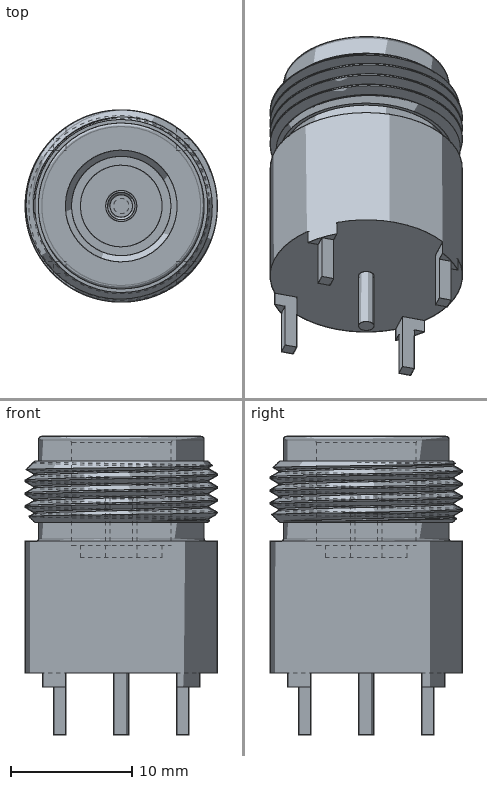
import cadquery as cq
import math

FOOT_HEIGHT = 1.14
TAIL_LENGTH = 3.94
BODY_TOP = 12.04
THREAD_BOTTOM = 13.58
THREAD_TOP = 18.66
NOSE_TOP = 20.70

BODY_RADIUS = 7.94
NOSE_RADIUS = 6.85
NOSE_EDGE_FILLET = 0.29
NECK_FILLET = 0.18

THREAD_PITCH = 25.4 / 24
THREAD_FLAT = THREAD_PITCH / 8
THREAD_HALF_ANGLE = math.radians(30)
THREAD_END_CHAMFER = 0.80
CREST_HEIGHT_AT_X = 14.36

BORE_RADIUS = 4.10
BORE_CHAMFER = 0.51
BORE_DEPTH = 9.0
BORE_FLOOR = NOSE_TOP - BORE_DEPTH
INSULATOR_RADIUS = 3.37
INSULATOR_RECESS = 1.0

CONTACT_RADIUS = 1.285
CONTACT_TIP_DEPTH = 5.0
SOCKET_RADIUS = 0.93
SOCKET_CHAMFER = 0.20
SOCKET_DEPTH = 4.0
CONTACT_TAIL_RADIUS = 0.635

LEG_OFFSET = 5.08
LEG_SIZE = 1.02


def cylinder(radius, bottom, top):
    return cq.Workplane("XY").workplane(offset=bottom).circle(radius).extrude(top - bottom)


def make_shell():
    """Drum, filleted neck and rounded nose, revolved as one outline."""
    return (
        cq.Workplane("XZ")
        .moveTo(0, FOOT_HEIGHT)
        .lineTo(BODY_RADIUS, FOOT_HEIGHT)
        .lineTo(BODY_RADIUS, BODY_TOP)
        .lineTo(NOSE_RADIUS + NECK_FILLET, BODY_TOP)
        .radiusArc((NOSE_RADIUS, BODY_TOP + NECK_FILLET), NECK_FILLET)
        .lineTo(NOSE_RADIUS, NOSE_TOP - NOSE_EDGE_FILLET)
        .radiusArc((NOSE_RADIUS - NOSE_EDGE_FILLET, NOSE_TOP), -NOSE_EDGE_FILLET)
        .lineTo(0, NOSE_TOP)
        .close()
        .revolve(360, (0, 0), (0, 1))
    )


def helical_bar(corners, pitch, turns, start_height):
    """Sweep a closed (radius, height) section up a right-hand helix, as ruled walls between rails."""
    rails = []
    for radius, height in corners:
        helix = cq.Wire.makeHelix(pitch, turns * pitch, radius)
        helix = helix.translate(cq.Vector(0, 0, start_height + height))
        rails.append(helix.Edges()[0])
    next_rails = rails[1:] + rails[:1]
    faces = [cq.Face.makeRuledSurface(rail, other) for rail, other in zip(rails, next_rails)]
    for end_point in (cq.Edge.startPoint, cq.Edge.endPoint):
        outline = cq.Wire.makePolygon([end_point(rail) for rail in rails], close=True)
        faces.append(cq.Face.makeFromWires(outline))
    return cq.Workplane(cq.Solid.makeSolid(cq.Shell.makeShell(faces)))


def make_thread_envelope():
    """Collar whose 45-degree end cones run on past the crests to trim the thread ends."""
    cone_rise = THREAD_END_CHAMFER + 0.5
    end_radius = BODY_RADIUS - THREAD_END_CHAMFER
    outer_radius = end_radius + cone_rise
    return (
        cq.Workplane("XZ")
        .moveTo(0, THREAD_BOTTOM)
        .lineTo(end_radius, THREAD_BOTTOM)
        .lineTo(outer_radius, THREAD_BOTTOM + cone_rise)
        .lineTo(outer_radius, THREAD_TOP - cone_rise)
        .lineTo(end_radius, THREAD_TOP)
        .lineTo(0, THREAD_TOP)
        .close()
        .revolve(360, (0, 0), (0, 1))
    )


def make_thread():
    """Helical ridge on a root cylinder, trimmed to the chamfered collar."""
    crest_half = THREAD_FLAT / 2
    root_half = (THREAD_PITCH - THREAD_FLAT) / 2
    depth = (root_half - crest_half) / math.tan(THREAD_HALF_ANGLE)
    root_radius = BODY_RADIUS - depth
    buried_radius = root_radius - 0.1
    section = [
        (buried_radius, -root_half),
        (root_radius, -root_half),
        (BODY_RADIUS, -crest_half),
        (BODY_RADIUS, crest_half),
        (root_radius, root_half),
        (buried_radius, root_half),
    ]

    start_height = CREST_HEIGHT_AT_X - 2 * THREAD_PITCH
    turns = math.ceil((THREAD_TOP - start_height) / THREAD_PITCH) + 1
    ridge = helical_bar(section, THREAD_PITCH, turns, start_height)
    end_height = start_height + turns * THREAD_PITCH
    core = cylinder(root_radius, start_height - THREAD_PITCH, end_height + THREAD_PITCH)
    return core.union(ridge).intersect(make_thread_envelope())


def make_bore():
    """Bore with a chamfered mouth and a smaller insulator recess in its floor."""
    recess_floor = BORE_FLOOR - INSULATOR_RECESS
    return (
        cq.Workplane("XZ")
        .moveTo(0, recess_floor)
        .lineTo(INSULATOR_RADIUS, recess_floor)
        .lineTo(INSULATOR_RADIUS, BORE_FLOOR)
        .lineTo(BORE_RADIUS, BORE_FLOOR)
        .lineTo(BORE_RADIUS, NOSE_TOP - BORE_CHAMFER)
        .lineTo(BORE_RADIUS + BORE_CHAMFER, NOSE_TOP)
        .lineTo(0, NOSE_TOP)
        .close()
        .revolve(360, (0, 0), (0, 1))
    )


def make_contact():
    """Centre post standing on the recess floor, with a countersunk socket in its tip."""
    tip = NOSE_TOP - CONTACT_TIP_DEPTH
    socket_floor = tip - SOCKET_DEPTH
    post = cylinder(CONTACT_RADIUS, BORE_FLOOR - INSULATOR_RECESS, tip)
    socket = (
        cq.Workplane("XZ")
        .moveTo(0, socket_floor)
        .lineTo(SOCKET_RADIUS, socket_floor)
        .lineTo(SOCKET_RADIUS, tip - SOCKET_CHAMFER)
        .lineTo(SOCKET_RADIUS + SOCKET_CHAMFER, tip)
        .lineTo(0, tip)
        .close()
        .revolve(360, (0, 0), (0, 1))
    )
    return post.cut(socket)


def make_leg(side_x, side_y):
    """Square pin under a foot that fills the drum's corner outside the pin's inner faces."""
    inner = LEG_OFFSET - LEG_SIZE / 2
    foot_size = BODY_RADIUS - inner
    foot_centre = inner + foot_size / 2
    foot = (
        cq.Workplane("XY")
        .center(side_x * foot_centre, side_y * foot_centre)
        .rect(foot_size, foot_size)
        .extrude(FOOT_HEIGHT)
        .intersect(cylinder(BODY_RADIUS, 0, FOOT_HEIGHT))
    )
    pin = (
        cq.Workplane("XY")
        .center(side_x * LEG_OFFSET, side_y * LEG_OFFSET)
        .rect(LEG_SIZE, LEG_SIZE)
        .extrude(-TAIL_LENGTH)
    )
    return foot.union(pin)


shell = make_shell().union(make_thread()).cut(make_bore())
contact_tail = cylinder(CONTACT_TAIL_RADIUS, -TAIL_LENGTH, FOOT_HEIGHT)
result = shell.union(make_contact()).union(contact_tail)
for side_x in (-1, 1):
    for side_y in (-1, 1):
        result = result.union(make_leg(side_x, side_y))